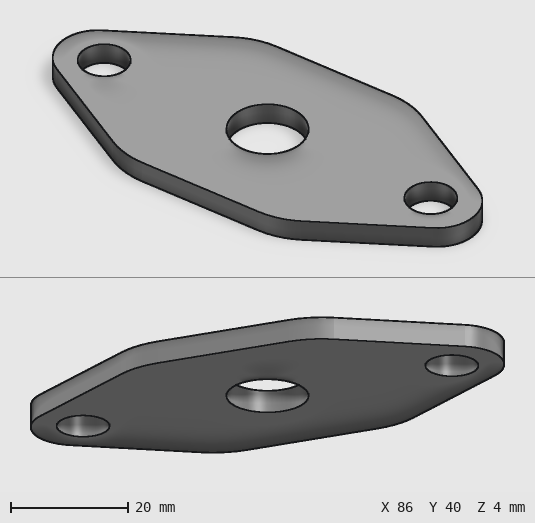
import cadquery as cq
import math

length = 86.0
width = 40.0
thickness = 4.0

flank_angle = math.radians(30.0)
end_radius = 7.7
shoulder_radius = 15.0

center_hole_diameter = 14.0
bolt_hole_diameter = 9.0
bolt_spacing = 67.9

end_center_x = length / 2 - end_radius
tip_x = end_center_x + end_radius / math.sin(flank_angle)
shoulder_x = tip_x - width / 2 / math.tan(flank_angle)
tangent_x = end_center_x + end_radius * math.sin(flank_angle)
tangent_y = end_radius * math.cos(flank_angle)


def make_plate():
    """Elongated hexagon with rounded ends and rounded shoulders."""
    outline = (
        cq.Workplane("XY")
        .moveTo(-shoulder_x, width / 2)
        .lineTo(shoulder_x, width / 2)
        .lineTo(tangent_x, tangent_y)
        .threePointArc((length / 2, 0), (tangent_x, -tangent_y))
        .lineTo(shoulder_x, -width / 2)
        .lineTo(-shoulder_x, -width / 2)
        .lineTo(-tangent_x, -tangent_y)
        .threePointArc((-length / 2, 0), (-tangent_x, tangent_y))
        .close()
    )
    plate = outline.extrude(thickness)
    shoulder_edges = plate.edges("|Z").filter(lambda edge: abs(edge.Center().x) < end_center_x)
    return shoulder_edges.fillet(shoulder_radius)


def cut_holes(plate):
    """Central bore and one bolt hole near each end, all through."""
    bored = plate.faces(">Z").workplane(origin=(0, 0, 0)).hole(center_hole_diameter)
    return (
        bored.faces(">Z")
        .workplane(origin=(0, 0, 0))
        .pushPoints([(-bolt_spacing / 2, 0), (bolt_spacing / 2, 0)])
        .hole(bolt_hole_diameter)
    )


result = cut_holes(make_plate())